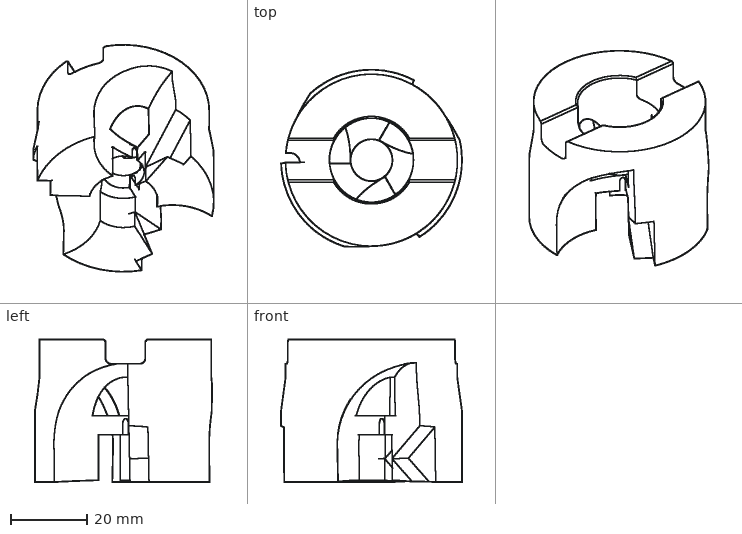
import cadquery as cq
import math

height = 37.35
end_dish = 0.8
body_radius = 23.68
neck_radius = 22.5
cone_bottom_z = 18.75
cone_top_z = 27.35

bore_radius = 11.0
bore_floor_z = 17.42
bore_chamfer = 0.45
screw_radius = 5.45
recess_radius = 9.0
recess_depth = 12.35

slot_width = 10.3
slot_floor_z = 31.0
slot_floor_fillet = 1.33
slot_edge_chamfer = 0.55

pocket_angles = (60, 180, 300)
pocket_axis_z = 10.1
pocket_inner_x = 5.4
pocket_round_radius = 15.7
pocket_round_start = 5.4
face_offset = 1.0
face_tilt = 1.2

seat_depth = 4.95
seat_apex_x = 8.8
seat_apex_z = 6.15
seat_half_angle = 30.0

clearance = 4.75
cutter_reach = body_radius + clearance


def make_body():
    return (
        cq.Workplane("XZ")
        .polyline([
            (0, end_dish),
            (body_radius, 0),
            (body_radius, cone_bottom_z),
            (neck_radius, cone_top_z),
            (neck_radius, height),
            (0, height),
        ])
        .close()
        .revolve(360, (0, 0, 0), (0, 1, 0))
    )


def make_bores():
    """Revolve the stepped central hole as one cutter."""
    return (
        cq.Workplane("XZ")
        .polyline([
            (0, 0),
            (recess_radius, 0),
            (recess_radius, recess_depth),
            (screw_radius, recess_depth),
            (screw_radius, bore_floor_z),
            (bore_radius, bore_floor_z),
            (bore_radius, height - bore_chamfer),
            (bore_radius + bore_chamfer, height),
            (0, height),
        ])
        .close()
        .revolve(360, (0, 0, 0), (0, 1, 0))
    )


def make_drive_slot():
    half_width = slot_width / 2
    half_mouth = half_width + slot_edge_chamfer
    channel = (
        cq.Workplane("XY")
        .box(2 * cutter_reach, slot_width, height - slot_floor_z, centered=(True, True, False))
        .translate((0, 0, slot_floor_z))
        .edges("|X and <Z")
        .fillet(slot_floor_fillet)
    )
    mouth = (
        cq.Workplane("YZ", origin=(-cutter_reach, 0, 0))
        .polyline([
            (-half_width, height - slot_edge_chamfer),
            (half_width, height - slot_edge_chamfer),
            (half_mouth, height),
            (-half_mouth, height),
        ])
        .close()
        .extrude(2 * cutter_reach)
    )
    return channel.union(mouth)


def pocket_profile():
    """Half section of the pocket: X is radial, Y is the distance back from the flat face."""
    round_center_x = pocket_inner_x + pocket_round_radius
    round_top = pocket_round_start + pocket_round_radius
    diagonal = pocket_round_radius * math.sqrt(0.5)
    return (
        cq.Workplane("XY")
        .moveTo(pocket_inner_x, 0)
        .lineTo(pocket_inner_x, -pocket_round_start)
        .threePointArc(
            (round_center_x - diagonal, -pocket_round_start - diagonal),
            (round_center_x, -round_top),
        )
        .lineTo(cutter_reach, -round_top)
        .lineTo(cutter_reach, 0)
        .close()
    )


def make_insert_seat():
    """V notch with its apex toward the axis, widening outward."""
    length = cutter_reach - seat_apex_x
    half_opening = length * math.tan(math.radians(seat_half_angle))
    apex_z = seat_apex_z - pocket_axis_z
    return (
        cq.Workplane("XZ")
        .polyline([
            (seat_apex_x, apex_z),
            (cutter_reach, apex_z + half_opening),
            (cutter_reach, apex_z - half_opening),
        ])
        .close()
        .extrude(-seat_depth)
    )


def make_pocket():
    """Quarter-turn dome over a straight gullet, plus the seat, tilted as one cutter."""
    dome = pocket_profile().revolve(90, (0, 0, 0), (-1, 0, 0))
    gullet = pocket_profile().extrude(-pocket_axis_z - clearance)
    return (
        dome.union(gullet)
        .union(make_insert_seat())
        .rotate((0, 0, 0), (1, 0, 0), face_tilt)
        .translate((0, face_offset, pocket_axis_z))
    )


result = make_body().cut(make_bores()).cut(make_drive_slot())
pocket = make_pocket()
for angle in pocket_angles:
    result = result.cut(pocket.rotate((0, 0, 0), (0, 0, 1), angle))